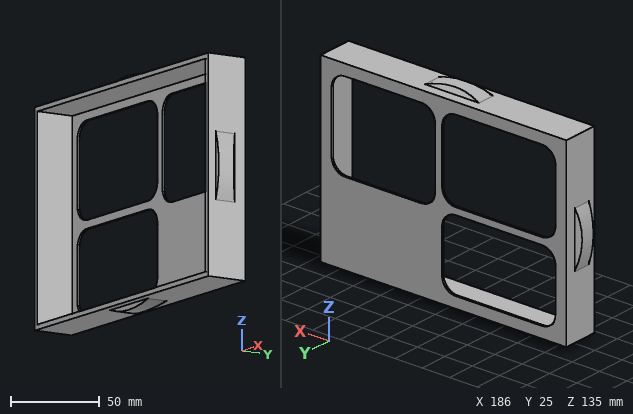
import cadquery as cq

total_width = 186.0
total_height = 135.0
depth = 25.0
bump_rise = 3.2
wall = 3.0
floor_thickness = 1.5

frame_bar = 5.0
window_radius = 10.0
left_column_width = 83.0
upper_left_height = 57.5
upper_right_height = 62.5

bump_length = 39.5
bump_front = 5.0
bump_back = 17.7
bump_bevel = 2.8

box_width = total_width - 2 * bump_rise
box_height = total_height - 2 * bump_rise
inner_width = box_width - 2 * wall
inner_height = box_height - 2 * wall
right_column_width = inner_width - 3 * frame_bar - left_column_width
lower_left_height = inner_height - 3 * frame_bar - upper_left_height

left_edge = -inner_width / 2 + frame_bar
right_edge = inner_width / 2 - frame_bar
top_edge = inner_height / 2 - frame_bar
bottom_edge = -inner_height / 2 + frame_bar


def block(width, height, y_start, y_end, x_center=0, z_center=0):
    """Box centered in X and Z that spans y_start to y_end."""
    length = y_end - y_start
    y_center = (y_start + y_end) / 2
    return cq.Workplane("XY").box(width, length, height).translate((x_center, y_center, z_center))


def window(x_left, z_bottom, width, height):
    """Cutter for a round-cornered opening through the floor."""
    x_center = x_left + width / 2
    z_center = z_bottom + height / 2
    cutter = block(width, height, 0, depth, x_center, z_center)
    return cutter.edges("|Y").fillet(window_radius)


def snap_bump(wall_distance):
    """Arched bump on the +Z wall, with its back end beveled down to the wall."""
    arch = (
        cq.Workplane("XZ")
        .moveTo(-bump_length / 2, 0)
        .threePointArc((0, bump_rise), (bump_length / 2, 0))
        .close()
        .extrude(-(bump_back - bump_front))
        .translate((0, bump_front, 0))
    )
    profile = (
        cq.Workplane("YZ")
        .moveTo(bump_front, 0)
        .lineTo(bump_front, bump_rise)
        .lineTo(bump_back - bump_bevel, bump_rise)
        .lineTo(bump_back, 0)
        .close()
        .extrude(bump_length / 2, both=True)
    )
    return arch.intersect(profile).translate((0, 0, wall_distance))


tray = block(box_width, box_height, 0, depth)
tray = tray.cut(block(inner_width, inner_height, 0, depth - floor_thickness))

tray = tray.cut(window(left_edge, top_edge - upper_left_height, left_column_width, upper_left_height))
tray = tray.cut(window(left_edge, bottom_edge, left_column_width, lower_left_height))
right_column_left = right_edge - right_column_width
tray = tray.cut(window(right_column_left, top_edge - upper_right_height, right_column_width, upper_right_height))

for angle in (0, 90, 180, 270):
    wall_distance = box_height / 2 if angle % 180 == 0 else box_width / 2
    bump = snap_bump(wall_distance).rotate((0, 0, 0), (0, 1, 0), angle)
    tray = tray.union(bump)

result = tray